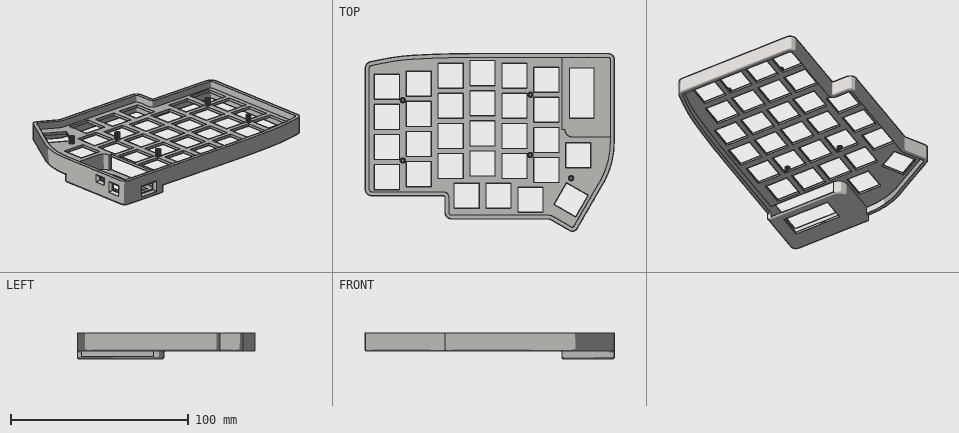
import cadquery as cq
import math

TOTAL_HEIGHT = 14.84
BODY_BOTTOM = 4.5
PLATE_RECESS = 4.0
PLATE_THICKNESS = 1.5
PLATE_TOP = TOTAL_HEIGHT - PLATE_RECESS
PLATE_BOTTOM = PLATE_TOP - PLATE_THICKNESS

CASE_WIDTH = 140.61
BACK_Y = 80.38
WALL = 2.25
CORNER_RADIUS = 4.0
BACK_RIGHT_RADIUS = 3.5
STEP_X = 45.0
STEP_INNER_RADIUS = 0.8
FRONT_Y = -13.1
BEND_X = 104.2
BEND_RADIUS = 3.5
TILT = 30.0
TIP_RADIUS = 3.0
TIP_FRONT_Y = -20.0
SIDE_ARC_BACK_Y = 30.6
SIDE_ARC_FRONT_X = 132.5
BACK_CURVE_START_X = 60.5
BACK_ARC_MIDDLE = (26.7, BACK_Y - 1.0)
BACK_ARC_END = (10.0, BACK_Y - 3.2)
BACK_LEFT_Y = BACK_Y - 5.24
BOTTOM_FILLET = 1.0

KEY_SIZE = 14.0
KEY_PITCH_X = 18.0
KEY_PITCH_Y = 17.0
KEY_ROWS = 4
FIRST_COLUMN_X = 12.25
COLUMN_BACK_KEY_Y = [61.6, 63.3, 67.85, 69.3, 67.85, 65.6]
THUMB_KEYS = [(57.25, 0.1), (75.25, 0.1), (93.25, -2.1), (120.25, 23.0)]
TILTED_KEY = (116.2, -2.2)

POST_DIAMETER = 3.0
POST_CENTERS = [(21.25, 54.0), (21.25, 20.0), (93.25, 57.1), (93.25, 23.1), (116.2, 10.0)]
THREAD_MINOR_DIAMETER = 1.62
THREAD_MAJOR_DIAMETER = 2.07
THREAD_PITCH = 0.4
THREAD_CREST_WIDTH = 0.06
THREAD_ROOT_WIDTH = 0.36
THREAD_OVERLAP = 0.2

POD_X = 111.0
POD_Y = 31.5
POD_RADIUS = 6.0
POD_WALL = 1.75
POD_FLOOR = 1.5
POD_BOTTOM_FILLET = 1.4
POD_TOP_FILLET = 0.5
WINDOW_CENTER = (122.2, 58.0)
WINDOW_WIDTH = 13.6
WINDOW_LENGTH = 28.3

OPENING_FLARE = 1.25
BACK_OPENING = (121.8, 5.6, 9.0, 4.2)
SIDE_OPENINGS = [(71.6, 8.2, 5.5, 4.2), (60.3, 10.2, 4.2, 2.1)]

REACH = 200.0


def outline_corners():
    """Tip corner and the two ends of the long arc on the right side."""
    tilt = math.radians(TILT)
    center_y = TIP_FRONT_Y + TIP_RADIUS
    center_x = BEND_X + (FRONT_Y - center_y + TIP_RADIUS / math.cos(tilt)) / math.tan(tilt)
    tip_x = center_x + TIP_RADIUS * (math.cos(tilt) - math.sin(tilt))
    tip_y = center_y - TIP_RADIUS * (math.cos(tilt) + math.sin(tilt))
    arc_front_y = tip_y + (SIDE_ARC_FRONT_X - tip_x) / math.tan(tilt)
    return (tip_x, tip_y), (SIDE_ARC_FRONT_X, arc_front_y), (CASE_WIDTH, SIDE_ARC_BACK_Y)


def case_block():
    """Solid block with the rounded outline of the case, as high as the whole part."""
    tip, arc_front, arc_back = outline_corners()
    arc_width = arc_back[0] - arc_front[0]
    arc_length = arc_back[1] - arc_front[1]
    arc_radius = (arc_width**2 + arc_length**2) / (2 * arc_width)
    block = (
        cq.Workplane("XY")
        .lineTo(STEP_X, 0)
        .lineTo(STEP_X, FRONT_Y)
        .lineTo(BEND_X, FRONT_Y)
        .lineTo(*tip)
        .lineTo(*arc_front)
        .radiusArc(arc_back, -arc_radius)
        .lineTo(CASE_WIDTH, BACK_Y)
        .lineTo(BACK_CURVE_START_X, BACK_Y)
        .tangentArcPoint(BACK_ARC_MIDDLE, relative=False)
        .tangentArcPoint(BACK_ARC_END, relative=False)
        .lineTo(0, BACK_LEFT_Y)
        .close()
        .extrude(TOTAL_HEIGHT)
    )
    roundings = [
        ((0, 0), CORNER_RADIUS),
        ((STEP_X, 0), STEP_INNER_RADIUS),
        ((STEP_X, FRONT_Y), CORNER_RADIUS),
        ((BEND_X, FRONT_Y), BEND_RADIUS),
        (tip, TIP_RADIUS),
        ((CASE_WIDTH, BACK_Y), BACK_RIGHT_RADIUS),
        ((0, BACK_LEFT_Y), CORNER_RADIUS),
    ]
    for (x, y), radius in roundings:
        edge = cq.selectors.NearestToPointSelector((x, y, TOTAL_HEIGHT / 2))
        block = block.edges("|Z").edges(edge).fillet(radius)
    return block


def inner_block(outer):
    """Space inside the case walls, over the full height."""
    rim = outer.faces(">Z").wires().val()
    inner_rim = rim.offset2D(-WALL)[0]
    return cq.Workplane("XY").add(inner_rim).toPending().extrude(-TOTAL_HEIGHT)


def layer(bottom, top):
    """Horizontal slab that reaches past the case on all sides."""
    slab = cq.Workplane("XY").box(2 * REACH, 2 * REACH, top - bottom, centered=(True, True, False))
    return slab.translate((0, 0, bottom))


def quadrant(x, y, radius, bottom, top):
    """Block reaching right and back from (x, y), with that corner rounded."""
    block = cq.Workplane("XY", origin=(x, y, bottom)).rect(REACH, REACH, centered=False)
    return block.extrude(top - bottom).edges("|Z and <X and <Y").fillet(radius)


def case_walls(outer, inner):
    """Open wall ring of the case, rounded along its lower outside edge."""
    case = outer.intersect(layer(BODY_BOTTOM, TOTAL_HEIGHT))
    return case.faces("<Z").edges().fillet(BOTTOM_FILLET).cut(inner)


def controller_pod(outer, inner):
    """Floor and walls under the plate, rounded along the bottom and hollowed out."""
    pod = quadrant(POD_X, POD_Y, POD_RADIUS, 0, PLATE_BOTTOM).intersect(outer)
    pod = pod.faces("<Z").edges().fillet(POD_BOTTOM_FILLET)
    return pod.cut(pod_hollow(inner))


def pod_hollow(inner):
    """Space above the pod floor, running up through the plate and out of the left side."""
    hollow = quadrant(
        POD_X + POD_WALL, POD_Y + POD_WALL, POD_RADIUS - POD_WALL, POD_FLOOR, TOTAL_HEIGHT
    )
    left_opening = cq.Workplane("XY", origin=(POD_X, POD_Y + POD_RADIUS, POD_FLOOR))
    left_opening = left_opening.rect(REACH, REACH, centered=False).extrude(TOTAL_HEIGHT)
    return hollow.union(left_opening).intersect(inner)


def blend_profile(plane, origin):
    """Concave rounding between a vertical pod face and the wall underside to its left."""
    r = POD_TOP_FILLET
    return cq.Workplane(plane, origin=origin).lineTo(-r, 0).radiusArc((0, -r), r).close()


def pod_blends():
    """Roundings where the two ends of the pod's outer wall meet the flat wall underside."""
    length = WALL - BOTTOM_FILLET
    back = blend_profile("XZ", (POD_X, BACK_Y - BOTTOM_FILLET, BODY_BOTTOM)).extrude(length)
    right = blend_profile("YZ", (CASE_WIDTH - WALL, POD_Y, BODY_BOTTOM)).extrude(length)
    return back.union(right)


def switch_plate(inner):
    """Plate with all switch openings, cut away above the pod."""
    plate = inner.intersect(layer(PLATE_BOTTOM, PLATE_TOP)).cut(pod_hollow(inner))
    columns = [
        (FIRST_COLUMN_X + column * KEY_PITCH_X, back_y - row * KEY_PITCH_Y)
        for column, back_y in enumerate(COLUMN_BACK_KEY_Y)
        for row in range(KEY_ROWS)
    ]
    key_centers = cq.Workplane("XY").pushPoints(columns + THUMB_KEYS)
    openings = key_centers.rect(KEY_SIZE, KEY_SIZE).extrude(TOTAL_HEIGHT)
    tilted = cq.Workplane("XY").rect(KEY_SIZE, KEY_SIZE).extrude(TOTAL_HEIGHT)
    tilted = tilted.rotate((0, 0, 0), (0, 0, 1), -TILT).translate(TILTED_KEY)
    return plate.cut(openings).cut(tilted)


def screw_post():
    """Post standing on the origin, with a blind tapped hole from its top."""
    minor_radius = THREAD_MINOR_DIAMETER / 2
    major_radius = THREAD_MAJOR_DIAMETER / 2
    bore = cq.Workplane("XY").circle(minor_radius).extrude(TOTAL_HEIGHT)
    helix = cq.Wire.makeHelix(THREAD_PITCH, PLATE_RECESS, minor_radius)
    groove = (
        cq.Workplane("XZ")
        .moveTo(minor_radius - THREAD_OVERLAP, -THREAD_ROOT_WIDTH / 2)
        .lineTo(major_radius, -THREAD_CREST_WIDTH / 2)
        .lineTo(major_radius, THREAD_CREST_WIDTH / 2)
        .lineTo(minor_radius - THREAD_OVERLAP, THREAD_ROOT_WIDTH / 2)
        .close()
        .sweep(cq.Workplane(helix), isFrenet=True)
        .translate((0, 0, THREAD_PITCH))
    )
    return cq.Workplane("XY").circle(POST_DIAMETER / 2).extrude(PLATE_RECESS).cut(bore.union(groove))


def flared_opening(length, height):
    """Cutter for a wall opening: outer face at Z = 0, outside towards +Z, length along X."""
    straight = cq.Workplane("XY").rect(length, height).extrude(-2 * WALL)
    flare = (
        cq.Workplane("XY", origin=(0, 0, -OPENING_FLARE))
        .rect(length, height)
        .workplane(offset=OPENING_FLARE)
        .rect(length + 2 * OPENING_FLARE, height + 2 * OPENING_FLARE)
        .loft()
    )
    return straight.union(flare)


def wall_openings():
    """Cutters for the opening in the back wall and those in the right wall."""
    x, z, length, height = BACK_OPENING
    cutters = flared_opening(length, height).rotate((0, 0, 0), (1, 0, 0), -90).translate((x, BACK_Y, z))
    for y, z, length, height in SIDE_OPENINGS:
        cutter = flared_opening(height, length).rotate((0, 0, 0), (0, 1, 0), 90)
        cutters = cutters.union(cutter.translate((CASE_WIDTH, y, z)))
    return cutters


def pod_window():
    """Cutter for the rectangular window in the pod floor."""
    return cq.Workplane("XY").center(*WINDOW_CENTER).rect(WINDOW_WIDTH, WINDOW_LENGTH).extrude(BODY_BOTTOM)


outer = case_block()
inner = inner_block(outer)
result = case_walls(outer, inner).union(controller_pod(outer, inner))
result = result.union(pod_blends()).union(switch_plate(inner))
result = result.cut(pod_window()).cut(wall_openings())
post = screw_post()
for x, y in POST_CENTERS:
    result = result.union(post.translate((x, y, PLATE_TOP)))